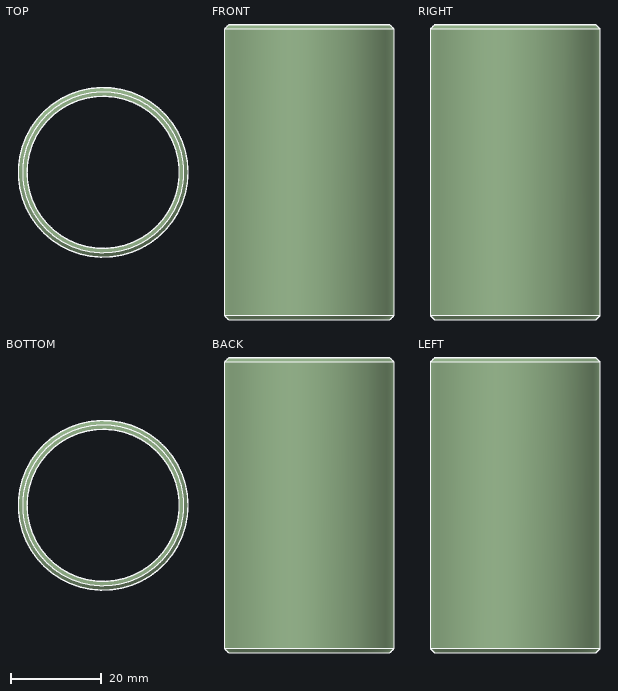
import cadquery as cq

length = 65.0
outer_diameter = 37.4
bore_diameter = 33.4
rim_chamfer = 1.0

tube = cq.Workplane("XY").circle(outer_diameter / 2).extrude(length)
chamfered_tube = tube.faces("<Z or >Z").edges().chamfer(rim_chamfer)

result = chamfered_tube.faces(">Z").workplane().hole(bore_diameter)